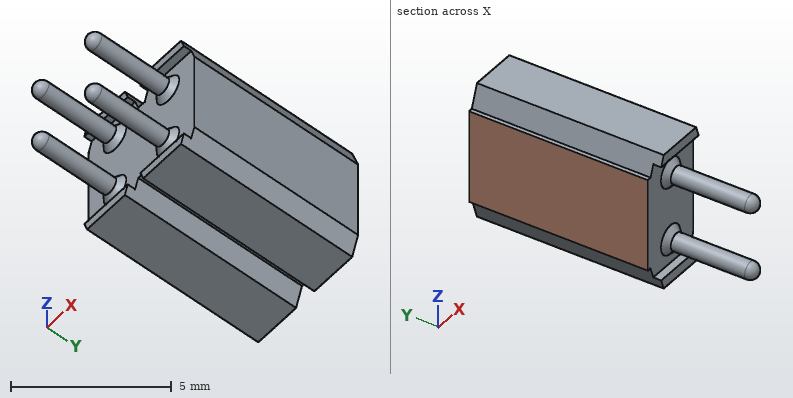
import cadquery as cq
import math

pitch = 2.54
body_size = 2 * pitch
body_length = 7.0

flank_width = 0.285
flank_depth = 0.81
groove_floor = 0.305

rib_length = 0.3
rib_height = 0.39

pin_radius = 0.32
pin_reach = 3.0
collar_radius = 0.54
collar_length = collar_radius - pin_radius

half = body_size / 2
pin_face_y = -(body_length - rib_length)
pin_tip_y = -(body_length + pin_reach)


def make_body():
    """Prism along Y with sloped corners and a groove in the top and bottom."""
    shoulder_z = half - flank_depth
    floor_x = groove_floor / 2
    upper_edge = [
        (-half, shoulder_z),
        (-half + flank_width, half),
        (-floor_x - flank_width, half),
        (-floor_x, shoulder_z),
        (floor_x, shoulder_z),
        (floor_x + flank_width, half),
        (half - flank_width, half),
        (half, shoulder_z),
    ]
    lower_edge = [(x, -z) for x, z in reversed(upper_edge)]
    return cq.Workplane("XZ").polyline(upper_edge + lower_edge).close().extrude(body_length)


def make_standoff_cut():
    """Block that sets the pin face back between the two ribs."""
    cut_height = body_size - 2 * rib_height
    return (
        cq.Workplane("XZ", origin=(0, pin_face_y, 0))
        .rect(body_size, cut_height)
        .extrude(rib_length)
    )


def make_pin(x, z):
    """Round-tipped pin with a conical collar, starting on the pin face."""
    shank_start_y = pin_face_y - collar_length
    tip_center_y = pin_tip_y + pin_radius
    diagonal = pin_radius * math.cos(math.radians(45))
    profile = (
        cq.Workplane("XY")
        .moveTo(0, pin_face_y)
        .lineTo(collar_radius, pin_face_y)
        .lineTo(pin_radius, shank_start_y)
        .lineTo(pin_radius, tip_center_y)
        .threePointArc((diagonal, tip_center_y - diagonal), (0, pin_tip_y))
        .close()
    )
    return profile.revolve(360, (0, 0, 0), (0, 1, 0)).translate((x, 0, z))


result = make_body().cut(make_standoff_cut())
pin_offsets = (-pitch / 2, pitch / 2)
for pin_x in pin_offsets:
    for pin_z in pin_offsets:
        result = result.union(make_pin(pin_x, pin_z))